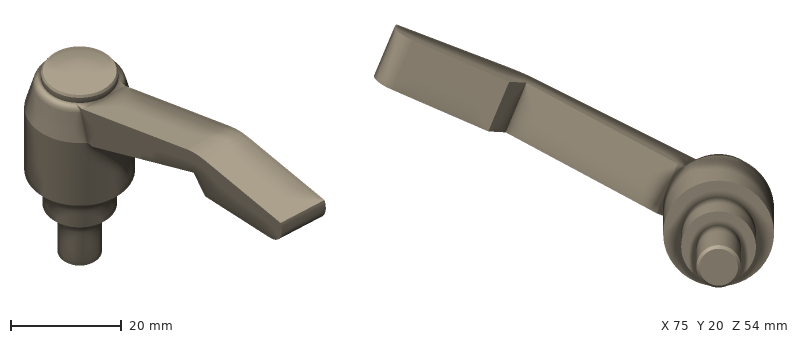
import cadquery as cq
import math


overall_length = 75.0
overall_height = 54.0

hub_radius = 10.01
collar_radius = 6.75
stud_radius = 4.01
shoulder_radius = 8.1
cap_radius = 7.0

collar_bottom = 12.0
hub_bottom = 20.0
cone_bottom = 35.0
hub_top = 42.0
cap_top = 43.6

stud_chamfer = 0.5
shoulder_fillet = 1.5
cap_chamfer_height = 0.45
cap_chamfer_inset = 0.3

handle_width = 10.1
arm_angle = math.radians(20.0)
bend_radius = 15.0
notch_x = 39.35
notch_z = 48.8
heel_x = 42.7
heel_z = 45.4
tip_radius = 4.0
tip_corner_setback = 0.4


def make_cylinder(radius, bottom, top):
    return cq.Workplane("XY").workplane(offset=bottom).circle(radius).extrude(top - bottom)


def make_stud():
    stud = make_cylinder(stud_radius, 0, collar_bottom)
    return stud.faces("<Z").chamfer(stud_chamfer)


def make_hub():
    hub = (
        cq.Workplane("XZ")
        .moveTo(0, hub_bottom)
        .lineTo(hub_radius, hub_bottom)
        .lineTo(hub_radius, cone_bottom)
        .lineTo(shoulder_radius, hub_top)
        .lineTo(0, hub_top)
        .close()
        .revolve(360, (0, 0, 0), (0, 1, 0))
    )
    return hub.faces(">Z").edges().fillet(shoulder_fillet)


def make_cap():
    cap = make_cylinder(cap_radius, hub_top, cap_top)
    return cap.faces(">Z").edges().chamfer(cap_chamfer_height, cap_chamfer_inset)


def make_handle():
    bend_start_z = overall_height - bend_radius * (1 - math.cos(arm_angle))
    bend_start_x = cap_radius + (bend_start_z - hub_top) / math.tan(arm_angle)
    bend_end_x = bend_start_x + bend_radius * math.sin(arm_angle)
    bend_middle = (
        bend_end_x - bend_radius * math.sin(arm_angle / 2),
        overall_height - bend_radius * (1 - math.cos(arm_angle / 2)),
    )

    handle_end = overall_length - hub_radius
    corner_x = handle_end - tip_corner_setback
    center_x = handle_end - tip_radius
    center_z = overall_height - math.sqrt(tip_radius**2 - (corner_x - center_x)**2)

    heel_to_center = math.hypot(center_x - heel_x, center_z - heel_z)
    center_direction = math.atan2(center_z - heel_z, center_x - heel_x)
    underside_angle = center_direction - math.asin(tip_radius / heel_to_center)
    tangent_x = center_x + tip_radius * math.sin(underside_angle)
    tangent_z = center_z - tip_radius * math.cos(underside_angle)

    return (
        cq.Workplane("XZ")
        .moveTo(0, cone_bottom)
        .lineTo(0, hub_top)
        .lineTo(cap_radius, hub_top)
        .lineTo(bend_start_x, bend_start_z)
        .threePointArc(bend_middle, (bend_end_x, overall_height))
        .lineTo(corner_x, overall_height)
        .threePointArc((handle_end, center_z), (tangent_x, tangent_z))
        .lineTo(heel_x, heel_z)
        .lineTo(notch_x, notch_z)
        .lineTo(hub_radius, cone_bottom)
        .close()
        .extrude(handle_width / 2, both=True)
    )


collar = make_cylinder(collar_radius, collar_bottom, hub_bottom)
result = make_hub().union(collar).union(make_stud()).union(make_cap()).union(make_handle())